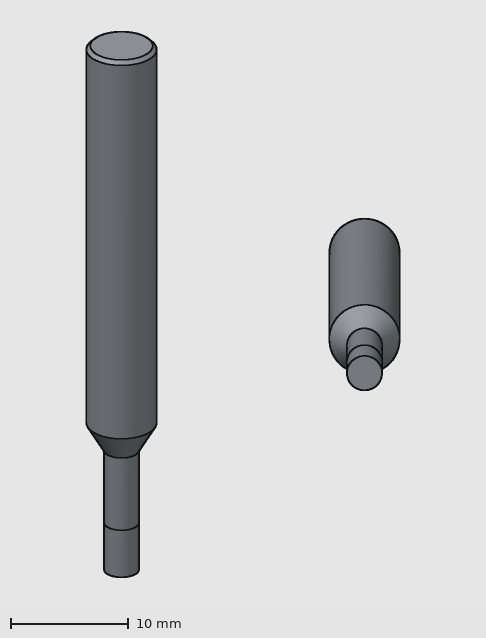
import cadquery as cq
import math

total_length = 50.0
shank_radius = 3.0
neck_radius = 1.5
tip_length = 4.5
taper_top = 14.0
taper_half_angle = math.radians(30)
top_chamfer = 0.35

taper_height = (shank_radius - neck_radius) / math.tan(taper_half_angle)
neck_top = taper_top - taper_height


def make_shank():
    """Turned holder: neck, conical taper and shank with a chamfered top end."""
    profile = [
        (0, tip_length),
        (neck_radius, tip_length),
        (neck_radius, neck_top),
        (shank_radius, taper_top),
        (shank_radius, total_length - top_chamfer),
        (shank_radius - top_chamfer, total_length),
        (0, total_length),
    ]
    return cq.Workplane("XZ").polyline(profile).close().revolve(360, (0, 0), (0, 1))


def make_tip():
    """Plain cylindrical tip, butted flush against the end of the neck."""
    return cq.Workplane("XY").circle(neck_radius).extrude(tip_length)


shank = make_shank()
tip = make_tip()

result = cq.Compound.makeCompound([shank.val(), tip.val()])